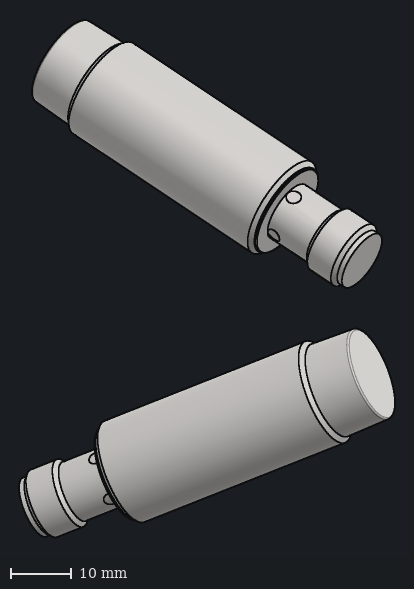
import cadquery as cq

total_length = 63.8

housing_diameter = 18.0
housing_end_diameter = 16.4
housing_chamfer = (housing_diameter - housing_end_diameter) / 2
housing_start = 8.0
housing_end = 47.6

cap_front_diameter = 16.0
cap_rear_diameter = housing_end_diameter
cap_edge_radius = 0.3

flange_end = 48.0
flange_diameter = housing_end_diameter
flange_chamfer = 0.2
neck_diameter = 10.5
collar_diameter = 12.0
collar_chamfer = (collar_diameter - neck_diameter) / 2
collar_start = 56.3
collar_end = 62.8

light_guide_diameter = 2.5
light_guide_center = 49.3


def make_cap():
    front_radius = cap_front_diameter / 2
    rear_radius = cap_rear_diameter / 2
    return (
        cq.Workplane("XY")
        .lineTo(0, front_radius - cap_edge_radius)
        .tangentArcPoint((cap_edge_radius, front_radius), relative=False)
        .lineTo(housing_start, rear_radius)
        .lineTo(housing_start, 0)
        .close()
        .revolve(360, (0, 0, 0), (1, 0, 0))
    )


def make_housing():
    return (
        cq.Workplane("YZ", origin=(housing_start, 0, 0))
        .circle(housing_diameter / 2)
        .extrude(housing_end - housing_start)
        .faces("<X or >X")
        .chamfer(housing_chamfer)
    )


def make_light_guide():
    rods = [
        cq.Workplane(plane, origin=(light_guide_center, 0, 0))
        .circle(light_guide_diameter / 2)
        .extrude(neck_diameter / 2, both=True)
        for plane in ("XY", "XZ")
    ]
    neck_envelope = (
        cq.Workplane("YZ", origin=(flange_end, 0, 0))
        .circle(neck_diameter / 2)
        .extrude(collar_start - flange_end)
    )
    return rods[0].union(rods[1]).intersect(neck_envelope)


def make_connector(light_guide):
    flange = (
        cq.Workplane("YZ", origin=(housing_end, 0, 0))
        .circle(flange_diameter / 2)
        .extrude(flange_end - housing_end)
        .faces(">X")
        .chamfer(flange_chamfer)
    )
    stem = (
        cq.Workplane("YZ", origin=(flange_end, 0, 0))
        .circle(neck_diameter / 2)
        .extrude(total_length - flange_end)
    )
    collar = (
        cq.Workplane("YZ", origin=(collar_start, 0, 0))
        .circle(collar_diameter / 2)
        .extrude(collar_end - collar_start)
        .faces("<X or >X")
        .chamfer(collar_chamfer)
    )
    return flange.union(stem).union(collar).cut(light_guide)


cap = make_cap()
housing = make_housing()
light_guide = make_light_guide()
connector = make_connector(light_guide)

result = cq.Compound.makeCompound([cap.val(), housing.val(), connector.val(), light_guide.val()])